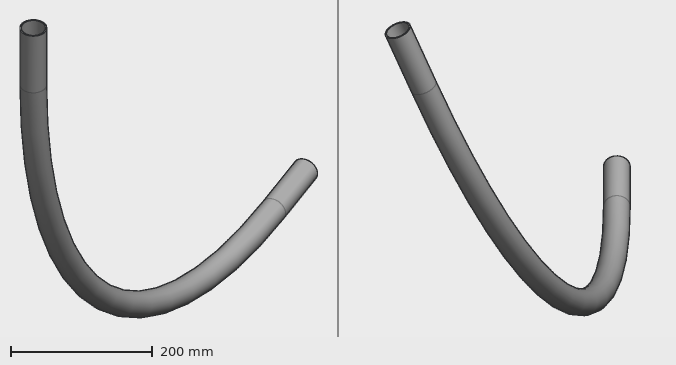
import cadquery as cq
import math

OUTER_DIAMETER = 38.1
INNER_DIAMETER = 33.88

BEND_RADIUS = 762.0
LEG_LENGTH = 101.6
CENTRELINE_REACH = BEND_RADIUS + LEG_LENGTH


def centreline():
    """Path from the top of the vertical leg to the +Y end of the horizontal leg."""
    bend_middle_offset = BEND_RADIUS * (1 - math.cos(math.radians(45)))
    return (
        cq.Workplane("YZ")
        .moveTo(0, CENTRELINE_REACH)
        .lineTo(0, BEND_RADIUS)
        .threePointArc((bend_middle_offset, bend_middle_offset), (BEND_RADIUS, 0))
        .lineTo(CENTRELINE_REACH, 0)
    )


def bent_tube():
    """Ring section swept along the centreline, open at both ends."""
    return (
        cq.Workplane("XY", origin=(0, 0, CENTRELINE_REACH))
        .circle(OUTER_DIAMETER / 2)
        .circle(INNER_DIAMETER / 2)
        .sweep(centreline())
    )


result = bent_tube()